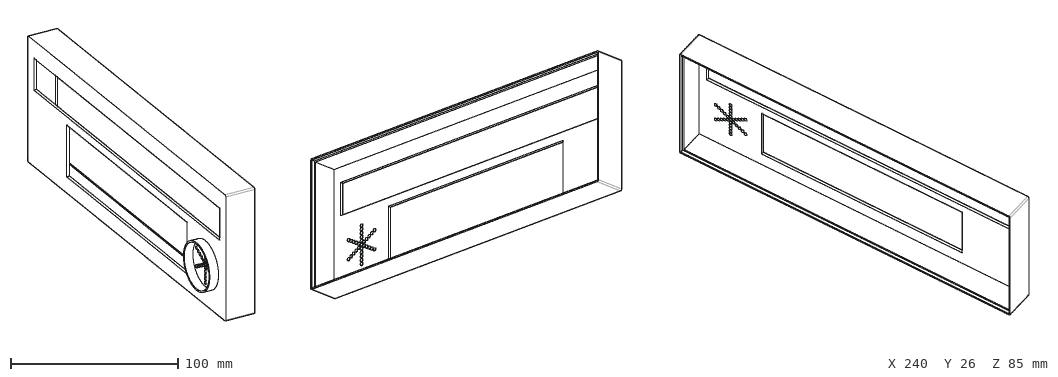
import cadquery as cq
import math

width = 240.0
depth = 20.0
height = 85.0
corner_radius = 1.0
wall = 2.0
front_plate = 2.0

rebate_width = 1.0
rebate_depth = 2.0

slot_width = 225.0
slot_height = 21.5
slot_top_margin = 12.0

window_width = 145.5
window_height = 34.8
window_bottom_margin = 11.0

ring_outer_diameter = 32.0
ring_inner_diameter = 30.0
ring_height = 6.0
ring_x = 95.2
ring_z = -15.0
hole_diameter = 2.0
hole_pitch = 2.5
holes_per_arm = 5
arm_count = 6

slot_z = height / 2 - slot_top_margin - slot_height / 2
window_z = -height / 2 + window_bottom_margin + window_height / 2


def block(size_x, size_z, y_start, y_end, center_z=0.0):
    """Box centred on X, running from y_start to y_end."""
    length = y_end - y_start
    box = cq.Workplane("XY").box(size_x, length, size_z)
    return box.translate((0, y_start + length / 2, center_z))


def disc(diameter, x, z, y_start, y_end):
    """Cylinder along Y, running from y_start to y_end."""
    plane = cq.Workplane("XZ", origin=(x, y_start, z))
    return plane.circle(diameter / 2).extrude(y_start - y_end)


def make_housing():
    shell = block(width, height, 0, depth).edges("|Y").fillet(corner_radius)
    cavity = block(width - 2 * wall, height - 2 * wall, front_plate, depth)
    rim_wall = wall - rebate_width
    rebate = block(width - 2 * rim_wall, height - 2 * rim_wall, depth - rebate_depth, depth)
    return shell.cut(cavity).cut(rebate)


def cut_openings(body):
    slot = block(slot_width, slot_height, 0, front_plate, slot_z)
    window = block(window_width, window_height, 0, front_plate, window_z)
    return body.cut(slot).cut(window)


def add_ring(body):
    ring = disc(ring_outer_diameter, ring_x, ring_z, -ring_height, 0)
    bore = disc(ring_inner_diameter, ring_x, ring_z, -ring_height, 0)
    return body.union(ring.cut(bore))


def grille_points():
    """Hole centres: one in the middle and a row along each arm, starting from vertical."""
    points = [(ring_x, ring_z)]
    for arm in range(arm_count):
        angle = math.pi / 2 + arm * 2 * math.pi / arm_count
        for step in range(1, holes_per_arm + 1):
            radius = step * hole_pitch
            points.append((ring_x + radius * math.cos(angle), ring_z + radius * math.sin(angle)))
    return points


def cut_grille(body):
    holes = cq.Workplane("XZ").pushPoints(grille_points())
    return body.cut(holes.circle(hole_diameter / 2).extrude(-front_plate))


housing = cut_openings(make_housing())
result = cut_grille(add_ring(housing))